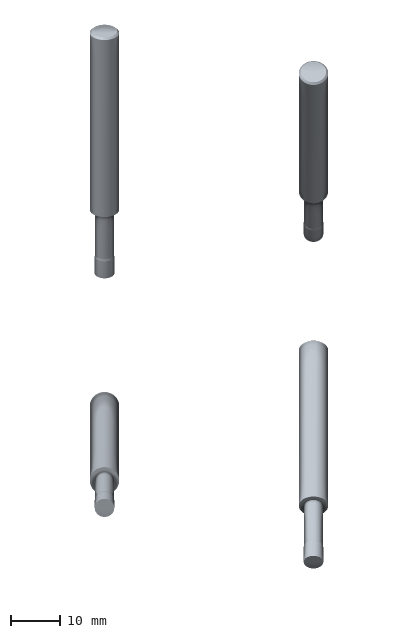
import cadquery as cq

total_length = 57.0
body_diameter = 6.0
top_chamfer = 0.4
stem_length = 15.0
neck_diameter = 3.8
tip_diameter = 4.0
tip_length = 4.0
taper_length = 0.5

body_radius = body_diameter / 2
neck_radius = neck_diameter / 2
tip_radius = tip_diameter / 2

profile = (
    cq.Workplane("XZ")
    .moveTo(0, 0)
    .lineTo(tip_radius, 0)
    .lineTo(tip_radius, tip_length)
    .lineTo(neck_radius, tip_length + taper_length)
    .lineTo(neck_radius, stem_length)
    .lineTo(body_radius, stem_length)
    .lineTo(body_radius, total_length - top_chamfer)
    .lineTo(body_radius - top_chamfer, total_length)
    .lineTo(0, total_length)
    .close()
)

result = profile.revolve(360, (0, 0, 0), (0, 1, 0))